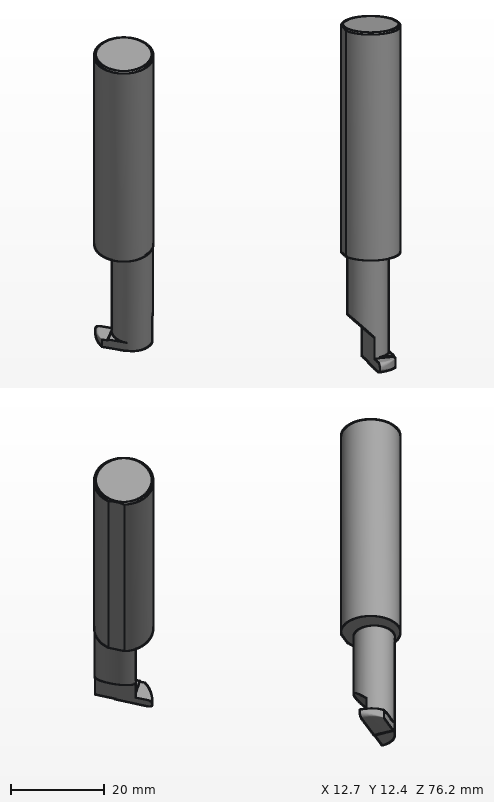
import cadquery as cq
import math

overall_length = 76.16
shank_diameter = 12.7
shank_length = 50.8
shank_flat_depth = 0.25
end_chamfer = 0.4

neck_diameter = 8.89
neck_bottom_z = 0.3
rake_flat_top_z = 6.95
run_out_angle = 43

rake_nose_radius = 1.08
heel_nose_radius = 0.05
nose_flat = 0.05
heel_nose_x = -3.5
clearance_radius = 7.2
section_count = 5
heel_bottom_z = 0.2
head_root_bottom_z = 0.1
pad_top_z = 2.45
pad_start_x = -2.35

shank_radius = shank_diameter / 2
neck_radius = neck_diameter / 2
neck_x = shank_radius - neck_radius
shank_bottom_z = overall_length - shank_length
rake_nose_x = -shank_radius
head_top_z = 2 * rake_nose_radius + nose_flat


def make_shank():
    """Cylinder chamfered round its free end, with a full-length flat on +Y."""
    shank = cq.Workplane("XY").workplane(offset=shank_bottom_z).circle(shank_radius).extrude(shank_length)
    shank = shank.faces(">Z").chamfer(end_chamfer)
    flat_cutter = (
        cq.Workplane("XY")
        .workplane(offset=shank_bottom_z)
        .center(0, shank_radius - shank_flat_depth / 2)
        .rect(shank_diameter, shank_flat_depth)
        .extrude(shank_length)
    )
    return shank.cut(flat_cutter)


def make_neck():
    """Offset cylinder, halved at y = 0 near its tip with a sloped run-out."""
    neck_length = shank_bottom_z - neck_bottom_z
    neck = (
        cq.Workplane("XY")
        .workplane(offset=neck_bottom_z)
        .center(neck_x, 0)
        .circle(neck_radius)
        .extrude(neck_length)
    )
    run_out_depth = shank_radius
    run_out_rise = run_out_depth * math.tan(math.radians(run_out_angle))
    relief = (
        cq.Workplane("YZ")
        .polyline([
            (0, 0),
            (0, rake_flat_top_z),
            (run_out_depth, rake_flat_top_z + run_out_rise),
            (run_out_depth, 0),
        ])
        .close()
        .extrude(shank_radius, both=True)
    )
    return neck.cut(relief)


def head_section(y, nose_x, radius, bottom_z, root_bottom_z):
    """Closed wire across the head at depth y, with both nose corners rounded."""
    arc_x = nose_x + radius
    arc_mid_offset = radius * math.sqrt(0.5)
    lower_z = bottom_z + radius
    upper_z = head_top_z - radius
    return (
        cq.Workplane("XZ", origin=(0, y, 0))
        .moveTo(neck_x, root_bottom_z)
        .lineTo(arc_x, bottom_z)
        .threePointArc((arc_x - arc_mid_offset, lower_z - arc_mid_offset), (nose_x, lower_z))
        .lineTo(nose_x, upper_z)
        .threePointArc((arc_x - arc_mid_offset, upper_z + arc_mid_offset), (arc_x, head_top_z))
        .lineTo(neck_x, head_top_z)
        .close()
        .val()
    )


def clearance_x(depth):
    """Nose x at a depth behind the rake face, on an arc through both nose ends."""
    half_run = (heel_nose_x - rake_nose_x) / 2
    half_depth = neck_radius / 2
    half_chord = math.hypot(half_run, half_depth)
    centre_distance = math.sqrt(clearance_radius**2 - half_chord**2)
    centre_x = rake_nose_x + half_run + centre_distance * half_depth / half_chord
    centre_depth = half_depth - centre_distance * half_run / half_chord
    return centre_x - math.sqrt(clearance_radius**2 - (depth - centre_depth) ** 2)


def make_head():
    """Round-nosed head with front and side clearance, plus its raised root pad."""
    sections = []
    for index in range(section_count):
        fraction = index / (section_count - 1)
        depth = fraction * neck_radius
        radius = rake_nose_radius + fraction * (heel_nose_radius - rake_nose_radius)
        bottom_z = fraction * heel_bottom_z
        root_z = head_root_bottom_z + fraction * (heel_bottom_z - head_root_bottom_z)
        sections.append(head_section(-depth, clearance_x(depth), radius, bottom_z, root_z))
    nose = cq.Workplane(cq.Solid.makeLoft(sections))
    pad = cq.Workplane("XY").box(
        neck_x - pad_start_x, neck_radius, pad_top_z - heel_bottom_z, centered=False
    ).translate((pad_start_x, -neck_radius, heel_bottom_z))
    return nose.union(pad)


result = make_shank().union(make_neck()).union(make_head())